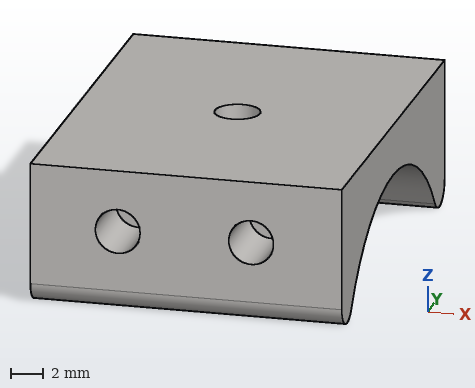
import cadquery as cq
import math

width = 19.5
length = 25.0
height = 8.98

crown_thickness = 3.2
foot_radius = 1.3

hole_diameter = 2.8
end_hole_spacing = 8.35
end_hole_shift = -0.1
end_hole_drop = 3.88
end_hole_depth = 5.0

foot_y = length / 2 - foot_radius
foot_z = foot_radius - height

foot_drop = -crown_thickness - foot_z
arch_radius = (foot_y**2 + foot_drop**2 - foot_radius**2) / (2 * (foot_radius + foot_drop))
arch_center_z = -crown_thickness - arch_radius


def saddle_block():
    """Extrude the YZ profile: flat top, circular arch and two rounded feet."""
    center_angle = math.atan2(foot_z - arch_center_z, foot_y)
    tangent_y = arch_radius * math.cos(center_angle)
    tangent_z = arch_center_z + arch_radius * math.sin(center_angle)
    return (
        cq.Workplane("YZ")
        .moveTo(-length / 2, 0)
        .lineTo(length / 2, 0)
        .lineTo(length / 2, foot_z)
        .threePointArc((foot_y, -height), (tangent_y, tangent_z))
        .threePointArc((0, -crown_thickness), (-tangent_y, tangent_z))
        .threePointArc((-foot_y, -height), (-length / 2, foot_z))
        .close()
        .extrude(width / 2, both=True)
    )


def crown_hole():
    """Vertical cutter through the middle of the arch."""
    return cq.Workplane("XY").circle(hole_diameter / 2).extrude(-height)


def end_holes():
    """Pair of blind cutters entering the -Y end face."""
    centers = [
        (end_hole_shift + side * end_hole_spacing / 2, -end_hole_drop)
        for side in (-1, 1)
    ]
    return (
        cq.Workplane("XZ", origin=(0, -length / 2, 0))
        .pushPoints(centers)
        .circle(hole_diameter / 2)
        .extrude(-end_hole_depth)
    )


result = saddle_block().cut(crown_hole()).cut(end_holes())